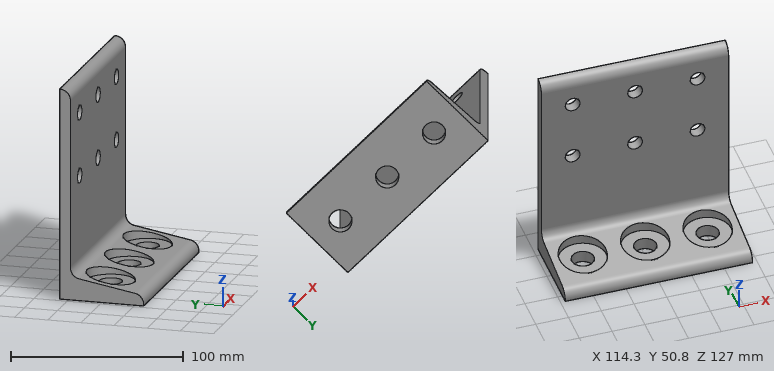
import cadquery as cq
import math

width = 114.3
depth = 50.8
height = 127.0

wall_thickness = 6.6
foot_slope = math.radians(10)
corner_radius = 6.4
front_land = 1.0

hole_pitch = 38.1
column_positions = [-hole_pitch, 0.0, hole_pitch]
wall_hole_diameter = 8.9
upper_row_height = height - 19.0
row_heights = [upper_row_height, upper_row_height - hole_pitch]
foot_hole_diameter = 13.5
foot_hole_y = -depth / 2
counterbore_diameter = 28.6
counterbore_floor = 7.6


def arc_point(centre, radius, angle):
    """Point on a circle in the YZ plane, with the angle measured from +Y."""
    y, z = centre
    return (y + radius * math.cos(angle), z + radius * math.sin(angle))


def make_angle_section():
    """Extrude the L section with its rounded ends and inside corner."""
    top_centre = (0, height - wall_thickness)
    top_middle = arc_point(top_centre, wall_thickness, math.radians(135))

    slope_normal = math.pi / 2 + foot_slope
    front_middle_angle = (math.pi + slope_normal) / 2
    front_centre = (-depth + corner_radius, front_land)
    front_middle = arc_point(front_centre, corner_radius, front_middle_angle)
    front_end = arc_point(front_centre, corner_radius, slope_normal)

    corner_y = -wall_thickness - corner_radius
    corner_start_y = corner_y - corner_radius * math.cos(slope_normal)
    corner_start_z = front_end[1] + (corner_start_y - front_end[0]) * math.tan(foot_slope)
    corner_z = corner_start_z + corner_radius * math.sin(slope_normal)
    corner_centre = (corner_y, corner_z)
    corner_middle = arc_point(corner_centre, corner_radius, front_middle_angle + math.pi)

    return (
        cq.Workplane("YZ")
        .moveTo(0, 0)
        .lineTo(-depth, 0)
        .lineTo(-depth, front_land)
        .threePointArc(front_middle, front_end)
        .lineTo(corner_start_y, corner_start_z)
        .threePointArc(corner_middle, (-wall_thickness, corner_z))
        .lineTo(-wall_thickness, height - wall_thickness)
        .threePointArc(top_middle, (0, height))
        .close()
        .extrude(width / 2, both=True)
    )


def make_wall_holes():
    """Straight through holes in two rows of the wall."""
    centres = [(x, z) for x in column_positions for z in row_heights]
    return (
        cq.Workplane("XZ")
        .pushPoints(centres)
        .circle(wall_hole_diameter / 2)
        .extrude(depth)
    )


def make_foot_holes():
    """Vertical through holes with flat counterbores open to the sloping surface."""
    centres = [(x, foot_hole_y) for x in column_positions]
    through_holes = (
        cq.Workplane("XY")
        .pushPoints(centres)
        .circle(foot_hole_diameter / 2)
        .extrude(height)
    )
    counterbores = (
        cq.Workplane("XY", origin=(0, 0, counterbore_floor))
        .pushPoints(centres)
        .circle(counterbore_diameter / 2)
        .extrude(height)
    )
    return through_holes.union(counterbores)


result = make_angle_section().cut(make_wall_holes()).cut(make_foot_holes())